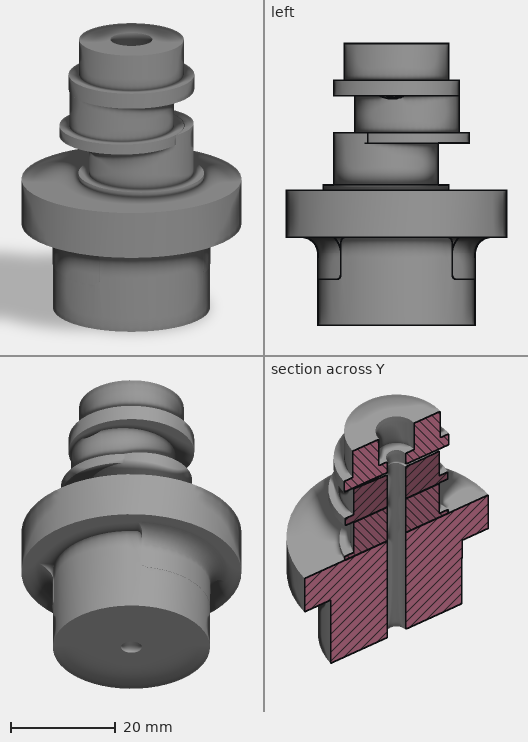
import cadquery as cq
import math

throw = 2.0
journal_radius = 10.0
shoulder_radius = 12.0
spigot_clearance = 0.1
bore_radius = 2.0
head_bore_radius = 4.0

hub_radius = 15.0
hub_height = 16.8
flange_radius = 21.0
flange_thickness = 9.0

pad_radius = 15.05
pad_inner_radius = hub_radius - 1.0
pad_bottom = 8.8
pad_sweep = 90.0
pad_blend_radius = 3.0
pad_corner_radius = 1.0
pad_end_blend_radius = 1.0

lower_shoulder_thickness = 1.0
lower_journal_length = 10.0
spigot_thickness = 2.0
upper_journal_length = 7.0
top_shoulder_thickness = 3.0
top_journal_length = 7.0

channel_radius = 5.25
channel_depth = 0.55
channel_angle = -9.0
channel_offset = -0.6

flange_top = hub_height + flange_thickness
lower_shoulder_top = flange_top + lower_shoulder_thickness
lower_top = lower_shoulder_top + lower_journal_length
spigot_bottom = lower_top - spigot_thickness
upper_top = lower_top + upper_journal_length
top_shoulder_top = upper_top + top_shoulder_thickness
stack_top = top_shoulder_top + top_journal_length


def disc(radius, bottom, top, y=0.0):
    """Upright cylinder between two levels, with its axis at the given Y."""
    return cq.Workplane("XY", origin=(0, y, bottom)).circle(radius).extrude(top - bottom)


def flared_sector(bottom, sweep):
    """Ring sector centred on +X whose outer face curves out into the flange."""
    blend_start = hub_height - pad_blend_radius
    arc_share = pad_blend_radius * math.sqrt(0.5)
    outer_radius = pad_radius + pad_blend_radius
    profile = (
        cq.Workplane("XZ")
        .moveTo(pad_inner_radius, bottom)
        .lineTo(pad_radius, bottom)
        .lineTo(pad_radius, blend_start)
        .threePointArc((outer_radius - arc_share, blend_start + arc_share), (outer_radius, hub_height))
        .lineTo(pad_inner_radius, hub_height)
        .close()
    )
    sector = profile.revolve(sweep, (0, 0, 0), (0, 1, 0))
    return sector.rotate((0, 0, 0), (0, 0, 1), -sweep / 2)


def pad_end_blend():
    """Concave strip joining the end face of a pad to the flange."""
    reach = pad_end_blend_radius
    arc_share = reach * math.sqrt(0.5)
    strip = (
        cq.Workplane("YZ", origin=(0, 0, hub_height))
        .moveTo(0, -reach)
        .threePointArc((reach - arc_share, arc_share - reach), (reach, 0))
        .lineTo(0, 0)
        .close()
        .extrude(flange_radius)
        .rotate((0, 0, 0), (0, 0, 1), pad_sweep / 2)
    )
    envelope_sweep = pad_sweep + 2 * math.degrees(reach / pad_inner_radius)
    envelope = flared_sector(hub_height - reach, envelope_sweep)
    return strip.intersect(envelope)


def make_pad():
    """One raised pad centred on +X."""
    pad = flared_sector(pad_bottom, pad_sweep)
    pad = pad.faces("<Z").edges("%LINE").fillet(pad_corner_radius)
    blend = pad_end_blend()
    return pad.union(blend).union(blend.mirror("XZ"))


def make_base():
    base = disc(hub_radius, 0, hub_height).union(disc(flange_radius, hub_height, flange_top))
    pad = make_pad()
    for direction in (-90, 90):
        base = base.union(pad.rotate((0, 0, 0), (0, 0, 1), direction))
    return base.cut(disc(bore_radius, 0, flange_top))


def make_lower_eccentric():
    """Shoulder and journal on the +Y side, recessed for the spigot above."""
    body = disc(shoulder_radius, flange_top, lower_shoulder_top, throw)
    body = body.union(disc(journal_radius, lower_shoulder_top, lower_top, throw))
    body = body.cut(disc(shoulder_radius, spigot_bottom, lower_top, -throw))
    return body.cut(disc(bore_radius, flange_top, lower_top))


def make_upper_eccentric():
    """Spigot and journal on the -Y side, with the channel across its top."""
    body = disc(shoulder_radius - spigot_clearance, spigot_bottom, lower_top, -throw)
    body = body.union(disc(journal_radius, lower_top, upper_top, -throw))
    channel_length = 4 * journal_radius
    channel_axis_level = upper_top - channel_depth + channel_radius
    channel = (
        cq.Workplane("YZ", origin=(0, 0, channel_axis_level))
        .circle(channel_radius)
        .extrude(channel_length / 2, both=True)
        .rotate((0, 0, 0), (0, 0, 1), channel_angle)
        .translate((0, channel_offset, 0))
    )
    return body.cut(channel).cut(disc(bore_radius, spigot_bottom, upper_top))


def make_top_journal():
    """Concentric shoulder and journal with a counterbored through hole."""
    body = disc(shoulder_radius, upper_top, top_shoulder_top)
    body = body.union(disc(journal_radius, top_shoulder_top, stack_top))
    body = body.cut(disc(head_bore_radius, top_shoulder_top, stack_top))
    return body.cut(disc(bore_radius, upper_top, stack_top))


base = make_base()
lower_eccentric = make_lower_eccentric()
upper_eccentric = make_upper_eccentric()
top_journal = make_top_journal()

result = cq.Compound.makeCompound(
    [
        base.solids().val(),
        lower_eccentric.solids().val(),
        upper_eccentric.solids().val(),
        top_journal.solids().val(),
    ]
)